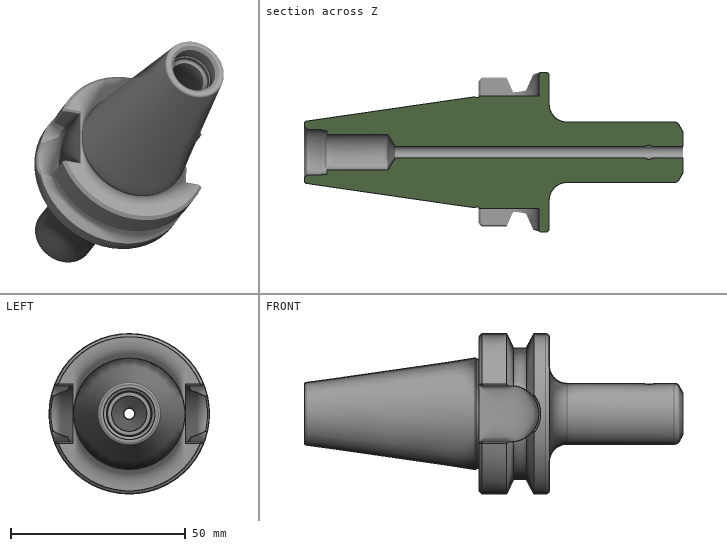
import cadquery as cq

LENGTH = 108.7
TAPER_END_X = 48.8
COLLAR_X = 50.1
GROOVE_START_X = 58.1
GROOVE_FLOOR_START_X = 60.0
GROOVE_FLOOR_END_X = 63.7
GROOVE_END_X = 65.9
FLANGE_END_X = 70.4

TAPER_SMALL_R = 8.9
TAPER_LARGE_R = 16.0
RELIEF_R = 31.5 / 2
COLLAR_R = 46.0 / 2
GROOVE_FLOOR_R = 18.9
SHANK_R = 17.5 / 2

TAPER_TIP_ROUND = 0.7
RELIEF_LENGTH = 0.9
COLLAR_CHAMFER = 0.9
FLANGE_ROUND = 1.1
NECK_FILLET = 5.0
SHANK_TIP_ROUND = 1.7
SHANK_TIP_ROUND_START_X = 106.1
SHANK_TIP_CONE_X = 107.8
SHANK_TIP_CONE_R = 7.6
SHANK_END_R = 5.9

MOUTH_R = 7.4
MOUTH_DEPTH = 0.9
COUNTERBORE_R = 13.0 / 2
COUNTERBORE_DEPTH = 5.0
STEP_R = 12.5 / 2
STEP_DEPTH = 6.4
THREAD_CORE_R = 10.1 / 2
THREAD_CORE_DEPTH = 23.9
DRILL_TIP_LENGTH = 2.2
COOLANT_R = 3.2 / 2

SLOT_HALF_WIDTH = 8.0
SLOT_FLOOR_Y = 16.2
SLOT_END_X = 67.3
SLOT_CHAMFER = 0.5

PIN_HOLE_R = 3.9 / 2
PIN_HOLE_X = 99.0


def revolve_about_x(profile):
    return profile.close().revolve(360, (0, 0, 0), (1, 0, 0))


def make_body():
    relief_start_x = COLLAR_X - RELIEF_LENGTH
    body = revolve_about_x(
        cq.Workplane("XY")
        .lineTo(0, TAPER_SMALL_R)
        .lineTo(TAPER_END_X, TAPER_LARGE_R)
        .lineTo(relief_start_x, TAPER_LARGE_R)
        .lineTo(relief_start_x, RELIEF_R)
        .lineTo(COLLAR_X, RELIEF_R)
        .lineTo(COLLAR_X, COLLAR_R - COLLAR_CHAMFER)
        .lineTo(COLLAR_X + COLLAR_CHAMFER, COLLAR_R)
        .lineTo(GROOVE_START_X, COLLAR_R)
        .lineTo(GROOVE_FLOOR_START_X, GROOVE_FLOOR_R)
        .lineTo(GROOVE_FLOOR_END_X, GROOVE_FLOOR_R)
        .lineTo(GROOVE_END_X, COLLAR_R)
        .lineTo(FLANGE_END_X - FLANGE_ROUND, COLLAR_R)
        .radiusArc((FLANGE_END_X, COLLAR_R - FLANGE_ROUND), FLANGE_ROUND)
        .lineTo(FLANGE_END_X, SHANK_R + NECK_FILLET)
        .radiusArc((FLANGE_END_X + NECK_FILLET, SHANK_R), -NECK_FILLET)
        .lineTo(SHANK_TIP_ROUND_START_X, SHANK_R)
        .radiusArc((SHANK_TIP_CONE_X, SHANK_TIP_CONE_R), SHANK_TIP_ROUND)
        .lineTo(LENGTH, SHANK_END_R)
        .lineTo(LENGTH, 0)
    )
    return body.faces("<X").edges().fillet(TAPER_TIP_ROUND)


def make_bore():
    return revolve_about_x(
        cq.Workplane("XY")
        .lineTo(0, MOUTH_R)
        .lineTo(MOUTH_DEPTH, COUNTERBORE_R)
        .lineTo(COUNTERBORE_DEPTH, COUNTERBORE_R)
        .lineTo(COUNTERBORE_DEPTH, STEP_R)
        .lineTo(STEP_DEPTH, STEP_R)
        .lineTo(STEP_DEPTH, THREAD_CORE_R)
        .lineTo(THREAD_CORE_DEPTH, THREAD_CORE_R)
        .lineTo(THREAD_CORE_DEPTH + DRILL_TIP_LENGTH, COOLANT_R)
        .lineTo(LENGTH, COOLANT_R)
        .lineTo(LENGTH, 0)
    )


def make_drive_slot(side):
    """Round-ended slot, open toward the taper; side is +1 or -1 along Y."""
    arc_center_x = SLOT_END_X - SLOT_HALF_WIDTH
    return (
        cq.Workplane("XZ", origin=(0, side * SLOT_FLOOR_Y, 0))
        .moveTo(COLLAR_X, -SLOT_HALF_WIDTH)
        .lineTo(arc_center_x, -SLOT_HALF_WIDTH)
        .threePointArc((SLOT_END_X, 0), (arc_center_x, SLOT_HALF_WIDTH))
        .lineTo(COLLAR_X, SLOT_HALF_WIDTH)
        .close()
        .extrude(-side * COLLAR_R)
    )


def slot_rim_edges(body):
    """Slot edges on the collar's front face, its chamfer and its outer diameter."""
    tolerance = 0.01
    rim = []
    for edge in body.edges().vals():
        middle = edge.positionAt(0.5)
        radius = (middle.y ** 2 + middle.z ** 2) ** 0.5
        on_wall = abs(abs(middle.z) - SLOT_HALF_WIDTH) < tolerance
        on_collar = COLLAR_X - tolerance < middle.x < GROOVE_START_X
        on_flange = GROOVE_END_X < middle.x < SLOT_END_X + tolerance
        outside = radius > COLLAR_R - tolerance
        above_floor = abs(middle.y) > SLOT_FLOOR_Y + tolerance
        if above_floor and ((on_wall and on_collar) or (on_flange and outside)):
            rim.append(edge)
    return body.newObject(rim)


def make_pin_hole():
    return (
        cq.Workplane("XY", origin=(PIN_HOLE_X, 0, SHANK_R))
        .circle(PIN_HOLE_R)
        .extrude(-SHANK_R)
    )


result = make_body().cut(make_bore())
for slot_side in (1, -1):
    result = result.cut(make_drive_slot(slot_side))
result = slot_rim_edges(result).chamfer(SLOT_CHAMFER)
result = result.cut(make_pin_hole())